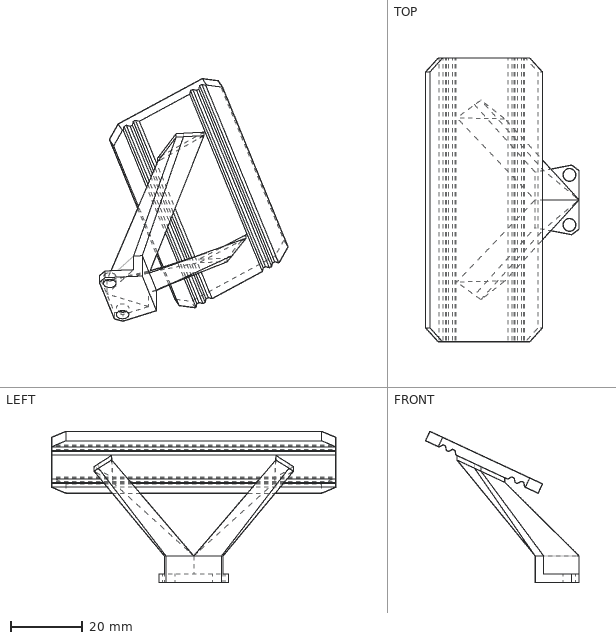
import cadquery as cq
import math

plate_length = 80.0
plate_width = 35.0
plate_thickness = 3.0
plate_corner = 4.0
tilt = 25.0
plate_low_edge_z = 25.1

groove_offsets = (5.4, 8.3)
groove_mouth = 2.2
groove_floor = 0.7
groove_depth = 1.0

base_front_x = 43.3
base_length = 12.4
base_height = 7.5
flange_thickness = 2.5
wall_thickness = 2.4
back_half_width = 7.8
flange_half_width = 9.8
corner_cut_x = 2.1
corner_cut_y = 1.6
hole_diameter = 3.5
hole_edge_distance = 2.7
hole_half_spacing = 7.0

foot_outline = ((9.8, 23.1), (15.3, 26.8), (17.3, 28.1), (24.7, 22.8))
foot_drop = 1.3

sin_tilt = math.sin(math.radians(tilt))
cos_tilt = math.cos(math.radians(tilt))
plate_high_edge_z = plate_low_edge_z + plate_width * sin_tilt
back_x = base_front_x - base_length
wall_front_x = back_x + wall_thickness
corner_x = base_front_x - corner_cut_x
side_slope = (flange_half_width - back_half_width) / (corner_x - back_x)
wall_half_width = back_half_width + side_slope * wall_thickness


def make_plate():
    """Build the plate flat with its high lower edge on the Y axis, then tilt it into place."""
    plate = (
        cq.Workplane("XY")
        .rect(plate_width, plate_length)
        .extrude(plate_thickness)
        .edges("|Z")
        .chamfer(plate_corner)
        .translate((plate_width / 2, 0, 0))
    )
    for offset in groove_offsets:
        for center in (offset, plate_width - offset):
            groove = (
                cq.Workplane("XZ")
                .moveTo(center - groove_mouth / 2, 0)
                .lineTo(center - groove_floor / 2, groove_depth)
                .lineTo(center + groove_floor / 2, groove_depth)
                .lineTo(center + groove_mouth / 2, 0)
                .close()
                .extrude(plate_length / 2, both=True)
            )
            plate = plate.cut(groove)
    return plate.rotate((0, 0, 0), (0, 1, 0), tilt).translate((0, 0, plate_high_edge_z))


def make_base():
    """Build the flange with its back wall, triangular web and two screw holes."""
    half_outline = [
        (back_x, back_half_width),
        (corner_x, flange_half_width),
        (base_front_x, flange_half_width - corner_cut_y),
    ]
    mirrored = [(x, -y) for x, y in reversed(half_outline)]
    flange = cq.Workplane("XY").polyline(half_outline + mirrored).close().extrude(flange_thickness)

    web_outline = [
        (back_x, back_half_width),
        (wall_front_x, wall_half_width),
        (base_front_x, 0),
        (wall_front_x, -wall_half_width),
        (back_x, -back_half_width),
    ]
    web = cq.Workplane("XY").polyline(web_outline).close().extrude(base_height)

    hole_x = base_front_x - hole_edge_distance
    holes = (
        cq.Workplane("XY")
        .pushPoints([(hole_x, hole_half_spacing), (hole_x, -hole_half_spacing)])
        .circle(hole_diameter / 2)
        .extrude(flange_thickness)
    )
    return flange.union(web).cut(holes)


def foot_point(across, y, drop):
    """Return a point the given vertical drop below the plate underside."""
    return cq.Vector(across * cos_tilt, y, plate_high_edge_z - across * sin_tilt - drop)


def make_strut():
    """Build the +Y strut: a ruled loft from half the web top, and a foot rising into the plate."""
    start = cq.Wire.makePolygon(
        [
            cq.Vector(back_x, 0, base_height),
            cq.Vector(back_x, back_half_width, base_height),
            cq.Vector(wall_front_x, wall_half_width, base_height),
            cq.Vector(base_front_x, 0, base_height),
        ],
        close=True,
    )
    foot = cq.Wire.makePolygon([foot_point(s, y, foot_drop) for s, y in foot_outline], close=True)
    arm = cq.Solid.makeLoft([start, foot], True)
    pad = cq.Solid.extrudeLinear(foot, [], cq.Vector(0, 0, foot_drop))
    return cq.Workplane(arm).union(cq.Workplane(pad))


strut = make_strut()
result = make_base().union(strut).union(strut.mirror("XZ")).union(make_plate())